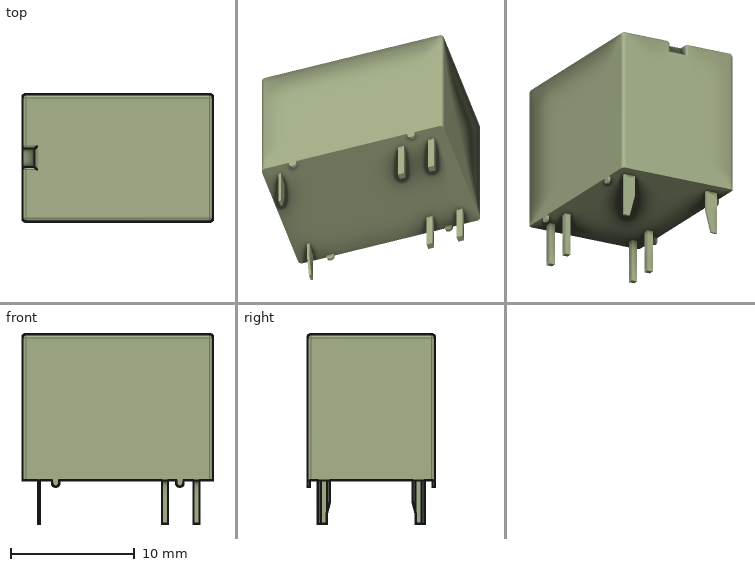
import cadquery as cq

CASE_LENGTH = 15.4
CASE_WIDTH = 10.3
OVERALL_HEIGHT = 15.3
PIN_LENGTH = 3.5
CASE_HEIGHT = OVERALL_HEIGHT - PIN_LENGTH
CASE_FILLET = 0.31

NOTCH_LENGTH = 1.0
NOTCH_WIDTH = 1.5
NOTCH_DEPTH = 1.0
NOTCH_FILLET = 0.2

NUB_SPACING = 10.01
NUB_WIDTH = 0.6
NUB_HEIGHT = 0.51
NUB_THICKNESS = 0.22

PIN_PITCH = 2.54
ROW_LENGTH = 5 * PIN_PITCH
ROW_Y = 3.82
BLADE_THICKNESS = 0.2
BLADE_WIDTH = 1.0
BLADE_TIP_WIDTH = 0.52
BLADE_STRAIGHT_LENGTH = 1.7
PIN_SIDE = 0.5


def make_case():
    """Box on the Z = 0 plane, rounded everywhere but around its bottom."""
    box = cq.Workplane("XY").box(CASE_LENGTH, CASE_WIDTH, CASE_HEIGHT, centered=(True, True, False))
    return box.edges("|Z or >Z").fillet(CASE_FILLET)


def cut_notch(case):
    """Cut the open-ended notch and round its three top edges and two end edges."""
    end_x = -CASE_LENGTH / 2
    inner_x = end_x + NOTCH_LENGTH
    floor_z = CASE_HEIGHT - NOTCH_DEPTH
    cutter = cq.Workplane("XY").box(
        2 * NOTCH_LENGTH, NOTCH_WIDTH, 2 * NOTCH_DEPTH
    ).translate((end_x, 0, CASE_HEIGHT))
    notched = case.cut(cutter)

    margin = 0.02
    mouth = cq.selectors.BoxSelector(
        (end_x - margin, -NOTCH_WIDTH / 2 - margin, floor_z + margin),
        (inner_x + margin, NOTCH_WIDTH / 2 + margin, CASE_HEIGHT + margin),
    )
    inner_corners = cq.selectors.BoxSelector(
        (inner_x - margin, -NOTCH_WIDTH / 2 - margin, floor_z + margin),
        (inner_x + margin, NOTCH_WIDTH / 2 + margin, CASE_HEIGHT - margin),
    )
    return notched.edges(mouth - inner_corners).fillet(NOTCH_FILLET)


def make_nub(x, side):
    """Round-ended nub flush with the long wall on the given side (+1 or -1)."""
    half = NUB_WIDTH / 2
    straight = NUB_HEIGHT - half
    center_y = side * (CASE_WIDTH - NUB_THICKNESS) / 2
    return (
        cq.Workplane("XZ")
        .moveTo(-half, 0)
        .lineTo(-half, -straight)
        .threePointArc((0, -NUB_HEIGHT), (half, -straight))
        .lineTo(half, 0)
        .close()
        .extrude(NUB_THICKNESS / 2, both=True)
        .translate((x, center_y, 0))
    )


def make_blade(x, side):
    """Flat pin whose inner edge tapers towards the tip."""
    outer_y = ROW_Y + BLADE_WIDTH / 2
    inner_y = ROW_Y - BLADE_WIDTH / 2
    outline = [
        (outer_y, 0),
        (outer_y, -PIN_LENGTH),
        (outer_y - BLADE_TIP_WIDTH, -PIN_LENGTH),
        (inner_y, -BLADE_STRAIGHT_LENGTH),
        (inner_y, 0),
    ]
    return (
        cq.Workplane("YZ")
        .polyline([(side * y, z) for y, z in outline])
        .close()
        .extrude(BLADE_THICKNESS / 2, both=True)
        .translate((x, 0, 0))
    )


def make_square_pin(x, side):
    """Straight square pin on the centre line of its row."""
    return (
        cq.Workplane("XY")
        .box(PIN_SIDE, PIN_SIDE, PIN_LENGTH)
        .translate((x, side * ROW_Y, -PIN_LENGTH / 2))
    )


result = cut_notch(make_case())
for side in (-1, 1):
    for nub_x in (-NUB_SPACING / 2, NUB_SPACING / 2):
        result = result.union(make_nub(nub_x, side))
    result = result.union(make_blade(-ROW_LENGTH / 2, side))
    for pin_x in (ROW_LENGTH / 2 - PIN_PITCH, ROW_LENGTH / 2):
        result = result.union(make_square_pin(pin_x, side))